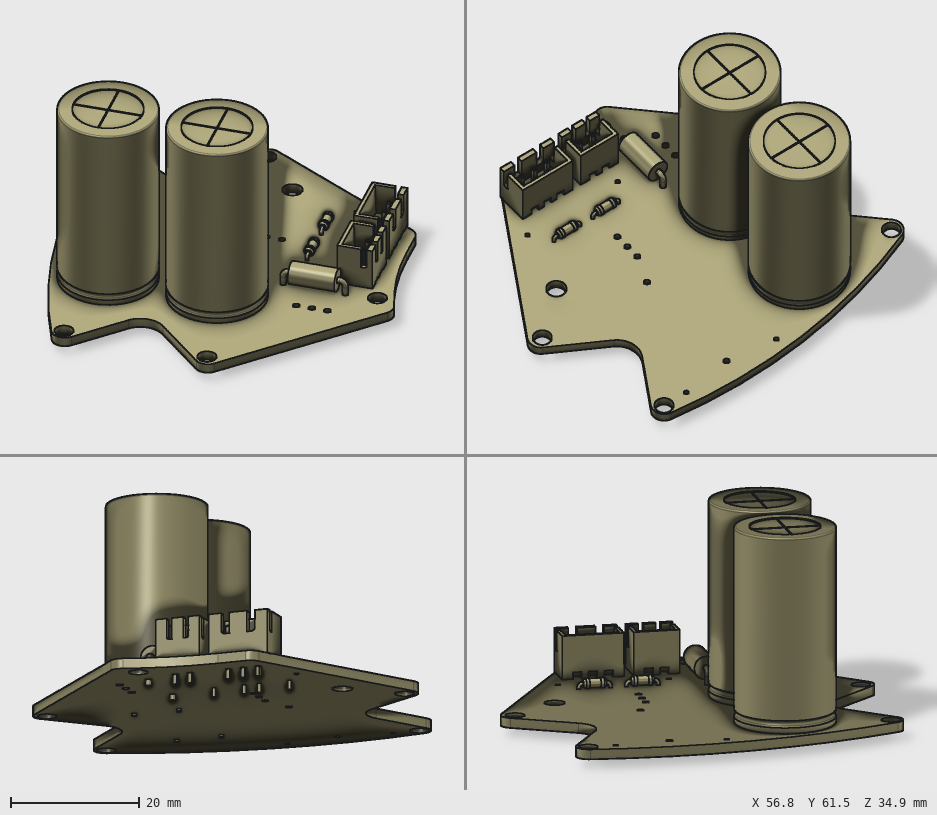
import cadquery as cq
import math


BOARD_THICKNESS = 1.6
BOARD_HALF_LENGTH = 28.42
ARC_CENTER_Y = 8.68
LEFT_ARC_RADIUS = 95.9
RIGHT_EDGE_X = 25.76
RIGHT_ARC_RADIUS = 45.3
UPPER_NOTCH = (-12.27, 16.58)
UPPER_TIP = (-3.64, 31.54)
LOWER_NOTCH = (-7.43, -19.43)
LOWER_TIP = (4.67, -31.62)
UPPER_EDGE_TILT = 30
LOWER_EDGE_TILT = 45
TIP_FILLET = 2.1
NOTCH_FILLET = 4.0

MOUNTING_HOLE_DIAMETER = 3.0
MOUNTING_HOLES = [(-3.04, 28.53), (-25.60, 21.94), (25.15, -4.93), (-19.00, -28.05), (4.51, -28.59)]
CABLE_HOLE_DIAMETER = 3.2
CABLE_HOLE = (3.50, 20.70)
MODULE_PIN_DIAMETER = 0.76
MODULE_PIN_X = (-25.65, 14.91)
MODULE_PIN_OFFSET_Y = 8.89
COIL_HOLE_DIAMETER = 1.0
COIL_HOLE_X = (-24.42, -4.10)
ROW_PITCH = 2.54
UPPER_ROW_CENTER = (3.50, 6.69)
UPPER_ROW_DIAMETER = 1.0
LOWER_ROW_CENTER = (16.19, -10.65)
LOWER_ROW_DIAMETER = 1.09

CAPACITOR_RADIUS = 8.0
CAPACITOR_HEIGHT = 31.55
CAPACITOR_EDGE = 0.25
CAPACITOR_CENTER_Y = -11.57
CAPACITOR_CENTERS = [(-16.8, CAPACITOR_CENTER_Y), (0.98, CAPACITOR_CENTER_Y)]
GROOVE_BOTTOM = 1.02
GROOVE_TOP = 2.15
GROOVE_SHOULDER_DROP = 0.15
GROOVE_DEPTH = 0.25
GROOVE_LOWER_SHOULDER = 0.38
GROOVE_UPPER_SHOULDER = 0.15
VENT_RADIUS = 5.6
VENT_DEPTH = 0.2
VENT_SLIT_WIDTH = 0.12
VENT_SLIT_DEPTH = 0.1
CAPACITOR_LEAD_DIAMETER = 0.76
CAPACITOR_LEAD_PITCH = 7.5
CAPACITOR_LEAD_STICKOUT = 0.35

SMALL_DIODE_X = 11.46
SMALL_DIODE_CENTERS_Y = (12.48, 4.84)
SMALL_DIODE_SPAN = 5.08
SMALL_DIODE_LEAD_DIAMETER = 0.6
SMALL_DIODE_STICKOUT = 1.5
SMALL_DIODE_RADIUS = 0.83
SMALL_DIODE_WAIST_RADIUS = 0.75
SMALL_DIODE_NOSE_RADIUS = 0.55
SMALL_DIODE_LENGTH = 3.7
SMALL_DIODE_NOSE_LENGTH = 0.4
SMALL_DIODE_WAIST_LENGTH = 1.8
SMALL_DIODE_BEND = 0.65

POWER_DIODE_CENTER = (14.95, -5.28)
POWER_DIODE_SPAN = 10.16
POWER_DIODE_LEAD_DIAMETER = 0.95
POWER_DIODE_STICKOUT = 0.95
POWER_DIODE_RADIUS = 1.85
POWER_DIODE_LENGTH = 7.6
POWER_DIODE_AXIS_HEIGHT = 2.35
POWER_DIODE_BEND = 0.9

HOUSING_LEFT_X = 17.9
HOUSING_DEPTH = 5.75
HOUSING_HEIGHT = 7.0
HOUSING_END_MARGIN = 2.45
PIN_PITCH = 2.5
PIN_X = 21.37
PIN_SIDE = 0.64
PIN_STICKOUT = 1.75
PIN_TIP_LENGTH = 0.2
PIN_TIP_SIDE = 0.3
PIN_HEIGHT = 5.5
PIN_HOLE_DIAMETER = 0.95
CAVITY_FLOOR = 2.0
CAVITY_MOUTH_WALL = 0.65
CAVITY_FLOOR_WALL = 0.9
LATCH_WALL = 0.95
END_SLOT_WIDTH = 0.93
END_SLOT_BOTTOM = 3.65
END_SLOT_FILLET = 0.4
FOOT_NOTCH_WIDTH = 1.4
FOOT_NOTCH_HEIGHT = 1.1
FOOT_NOTCH_DEPTH = 0.65
FOOT_CHANNEL_HEIGHT = 0.22
CONNECTORS = [
    (3, 11.25, 1.48, 2.85, 0.65),
    (2, 1.06, 0.98, 1.83, 0.4),
]


def point_on_arc(center_x, radius, through, tilt):
    """Nearest crossing of a board arc and the line through a point, tilted in degrees."""
    dx = math.cos(math.radians(tilt))
    dy = math.sin(math.radians(tilt))
    from_center_x = through[0] - center_x
    from_center_y = through[1] - ARC_CENTER_Y
    half_b = from_center_x * dx + from_center_y * dy
    c = from_center_x**2 + from_center_y**2 - radius**2
    root = math.sqrt(half_b**2 - c)
    travel = min((-half_b - root, -half_b + root), key=abs)
    return (through[0] + travel * dx, through[1] + travel * dy)


def arc_middle(center_x, radius, start, end):
    """Point halfway along a board arc between two of its points."""
    angles = [math.atan2(y - ARC_CENTER_Y, center_x - x) for x, y in (start, end)]
    middle = sum(angles) / 2
    return (center_x - radius * math.cos(middle), ARC_CENTER_Y + radius * math.sin(middle))


def pin_rows(center, pitch, count):
    """Points of a row along X, centred on a point."""
    return [(center[0] + (i - (count - 1) / 2) * pitch, center[1]) for i in range(count)]


def capacitor_leads(center):
    return [(center[0], center[1] + side * CAPACITOR_LEAD_PITCH / 2) for side in (-1, 1)]


def connector_pins(count, middle_y):
    return [(PIN_X, middle_y + (i - (count - 1) / 2) * PIN_PITCH) for i in range(count)]


def make_board():
    """Plate bounded by a long arc on the left, a hollow arc on the right and two notches."""
    left_arc = (LEFT_ARC_RADIUS - BOARD_HALF_LENGTH, LEFT_ARC_RADIUS)
    right_arc = (RIGHT_EDGE_X + RIGHT_ARC_RADIUS, RIGHT_ARC_RADIUS)
    upper_left = point_on_arc(*left_arc, UPPER_NOTCH, -UPPER_EDGE_TILT)
    lower_left = point_on_arc(*left_arc, LOWER_NOTCH, LOWER_EDGE_TILT)
    lower_right = point_on_arc(*right_arc, LOWER_TIP, LOWER_EDGE_TILT)
    drop = (RIGHT_EDGE_X - UPPER_TIP[0]) * math.tan(math.radians(UPPER_EDGE_TILT))
    upper_right = (RIGHT_EDGE_X, UPPER_TIP[1] - drop)
    right_arc_start = (RIGHT_EDGE_X, ARC_CENTER_Y)

    board = (
        cq.Workplane("XY")
        .moveTo(*upper_left)
        .lineTo(*UPPER_NOTCH)
        .lineTo(*UPPER_TIP)
        .lineTo(*upper_right)
        .lineTo(*right_arc_start)
        .threePointArc(arc_middle(*right_arc, right_arc_start, lower_right), lower_right)
        .lineTo(*LOWER_TIP)
        .lineTo(*LOWER_NOTCH)
        .lineTo(*lower_left)
        .threePointArc(arc_middle(*left_arc, lower_left, upper_left), upper_left)
        .close()
        .extrude(BOARD_THICKNESS)
    )
    tips = [upper_left, UPPER_TIP, upper_right, lower_right, LOWER_TIP, lower_left]
    notches = [UPPER_NOTCH, LOWER_NOTCH]
    for corners, radius in ((tips, TIP_FILLET), (notches, NOTCH_FILLET)):
        for x, y in corners:
            edge = cq.selectors.NearestToPointSelector((x, y, BOARD_THICKNESS / 2))
            board = board.edges("|Z").edges(edge).fillet(radius)

    module_pins = [
        (x, ARC_CENTER_Y + side * MODULE_PIN_OFFSET_Y) for x in MODULE_PIN_X for side in (-1, 1)
    ]
    small_leads = [
        (SMALL_DIODE_X, y + side * SMALL_DIODE_SPAN / 2)
        for y in SMALL_DIODE_CENTERS_Y
        for side in (-1, 1)
    ]
    holes = [
        (MOUNTING_HOLE_DIAMETER, MOUNTING_HOLES),
        (CABLE_HOLE_DIAMETER, [CABLE_HOLE]),
        (MODULE_PIN_DIAMETER, module_pins),
        (COIL_HOLE_DIAMETER, [(x, ARC_CENTER_Y) for x in COIL_HOLE_X]),
        (UPPER_ROW_DIAMETER, pin_rows(UPPER_ROW_CENTER, ROW_PITCH, 3)),
        (LOWER_ROW_DIAMETER, pin_rows(LOWER_ROW_CENTER, ROW_PITCH, 3)),
        (CAPACITOR_LEAD_DIAMETER, [p for center in CAPACITOR_CENTERS for p in capacitor_leads(center)]),
        (SMALL_DIODE_LEAD_DIAMETER, small_leads),
        (POWER_DIODE_LEAD_DIAMETER, pin_rows(POWER_DIODE_CENTER, POWER_DIODE_SPAN, 2)),
        (PIN_HOLE_DIAMETER, [p for c in CONNECTORS for p in connector_pins(c[0], c[1])]),
    ]
    for diameter, points in holes:
        cutter = cq.Workplane("XY").pushPoints(points).circle(diameter / 2).extrude(BOARD_THICKNESS)
        board = board.cut(cutter)
    return board


def make_capacitor(center):
    """Can with a rolled groove near its foot and a cross-slit vent disc sunk into its top."""
    shoulder_radius = CAPACITOR_RADIUS - GROOVE_SHOULDER_DROP
    groove_low = GROOVE_BOTTOM + GROOVE_LOWER_SHOULDER
    groove_high = GROOVE_TOP - GROOVE_UPPER_SHOULDER
    can = (
        cq.Workplane("XZ")
        .lineTo(CAPACITOR_RADIUS, 0)
        .lineTo(CAPACITOR_RADIUS, GROOVE_BOTTOM)
        .lineTo(shoulder_radius, groove_low)
        .threePointArc(
            (CAPACITOR_RADIUS - GROOVE_DEPTH, (groove_low + groove_high) / 2),
            (shoulder_radius, groove_high),
        )
        .lineTo(CAPACITOR_RADIUS, GROOVE_TOP)
        .lineTo(CAPACITOR_RADIUS, CAPACITOR_HEIGHT)
        .lineTo(0, CAPACITOR_HEIGHT)
        .close()
        .revolve(360, (0, 0, 0), (0, 1, 0))
    )
    can = can.faces("<Z or >Z").edges().fillet(CAPACITOR_EDGE)

    vent_floor = CAPACITOR_HEIGHT - VENT_DEPTH
    vent = cq.Workplane("XY").workplane(offset=vent_floor).circle(VENT_RADIUS).extrude(VENT_DEPTH)
    slits = (
        cq.Workplane("XY")
        .workplane(offset=vent_floor - VENT_SLIT_DEPTH)
        .rect(2 * VENT_RADIUS, VENT_SLIT_WIDTH)
        .extrude(VENT_SLIT_DEPTH)
        .union(
            cq.Workplane("XY")
            .workplane(offset=vent_floor - VENT_SLIT_DEPTH)
            .rect(VENT_SLIT_WIDTH, 2 * VENT_RADIUS)
            .extrude(VENT_SLIT_DEPTH)
        )
    )
    leads = (
        cq.Workplane("XY")
        .pushPoints(capacitor_leads((0, 0)))
        .circle(CAPACITOR_LEAD_DIAMETER / 2)
        .extrude(-(BOARD_THICKNESS + CAPACITOR_LEAD_STICKOUT))
    )
    capacitor = can.cut(vent).cut(slits).union(leads)
    return capacitor.translate((center[0], center[1], BOARD_THICKNESS))


def make_bent_lead(span, diameter, axis_height, bend, stickout):
    """Wire along X at the axis height, turned down through the board at both ends."""
    half = span / 2
    bottom = -BOARD_THICKNESS - stickout
    diagonal = bend * (1 - math.sqrt(0.5))
    path = (
        cq.Workplane("XZ")
        .moveTo(-half, bottom)
        .lineTo(-half, axis_height - bend)
        .threePointArc((-half + diagonal, axis_height - diagonal), (-half + bend, axis_height))
        .lineTo(half - bend, axis_height)
        .threePointArc((half - diagonal, axis_height - diagonal), (half, axis_height - bend))
        .lineTo(half, bottom)
    )
    return cq.Workplane("XY", origin=(-half, 0, bottom)).circle(diameter / 2).sweep(path)


def make_small_diode(middle_y):
    """Glass diode with a wider collar and a tapered nose at each end of its waist."""
    half = SMALL_DIODE_LENGTH / 2
    collar_end = half - SMALL_DIODE_NOSE_LENGTH
    half_waist = SMALL_DIODE_WAIST_LENGTH / 2
    body = (
        cq.Workplane("XY")
        .moveTo(-half, 0)
        .lineTo(-half, SMALL_DIODE_NOSE_RADIUS)
        .lineTo(-collar_end, SMALL_DIODE_RADIUS)
        .lineTo(-half_waist, SMALL_DIODE_RADIUS)
        .lineTo(-half_waist, SMALL_DIODE_WAIST_RADIUS)
        .lineTo(half_waist, SMALL_DIODE_WAIST_RADIUS)
        .lineTo(half_waist, SMALL_DIODE_RADIUS)
        .lineTo(collar_end, SMALL_DIODE_RADIUS)
        .lineTo(half, SMALL_DIODE_NOSE_RADIUS)
        .lineTo(half, 0)
        .close()
        .revolve(360, (0, 0, 0), (1, 0, 0))
        .translate((0, 0, SMALL_DIODE_RADIUS))
    )
    lead = make_bent_lead(
        SMALL_DIODE_SPAN,
        SMALL_DIODE_LEAD_DIAMETER,
        SMALL_DIODE_RADIUS,
        SMALL_DIODE_BEND,
        SMALL_DIODE_STICKOUT,
    )
    diode = body.union(lead).rotate((0, 0, 0), (0, 0, 1), 90)
    return diode.translate((SMALL_DIODE_X, middle_y, BOARD_THICKNESS))


def make_power_diode():
    body = (
        cq.Workplane("YZ", origin=(-POWER_DIODE_LENGTH / 2, 0, POWER_DIODE_AXIS_HEIGHT))
        .circle(POWER_DIODE_RADIUS)
        .extrude(POWER_DIODE_LENGTH)
    )
    lead = make_bent_lead(
        POWER_DIODE_SPAN,
        POWER_DIODE_LEAD_DIAMETER,
        POWER_DIODE_AXIS_HEIGHT,
        POWER_DIODE_BEND,
        POWER_DIODE_STICKOUT,
    )
    return body.union(lead).translate((*POWER_DIODE_CENTER, BOARD_THICKNESS))


def make_connector_pin():
    """Square pin with a pyramid tip at both ends."""
    bottom = -BOARD_THICKNESS - PIN_STICKOUT
    tip_inset = (PIN_SIDE - PIN_TIP_SIDE) / 2
    return (
        cq.Workplane("XY")
        .workplane(offset=bottom)
        .rect(PIN_SIDE, PIN_SIDE)
        .extrude(PIN_HEIGHT - bottom)
        .faces("<Z or >Z")
        .chamfer(PIN_TIP_LENGTH, tip_inset)
    )


def make_connector(pin_count, middle_y, latch_inner, latch_outer, latch_fillet):
    """Open-topped housing with slotted end walls and latch wall, and its row of pins."""
    length = (pin_count - 1) * PIN_PITCH + 2 * HOUSING_END_MARGIN
    right_x = HOUSING_LEFT_X + HOUSING_DEPTH
    latch_x = right_x - LATCH_WALL
    housing = cq.Workplane("XY").box(HOUSING_DEPTH, length, HOUSING_HEIGHT, centered=(False, True, False))
    housing = housing.translate((HOUSING_LEFT_X, 0, 0))

    floor_depth = latch_x - HOUSING_LEFT_X - CAVITY_FLOOR_WALL
    mouth_depth = latch_x - HOUSING_LEFT_X - CAVITY_MOUTH_WALL
    cavity = (
        cq.Workplane("XY", origin=(latch_x, 0, CAVITY_FLOOR))
        .center(-floor_depth / 2, 0)
        .rect(floor_depth, length - 2 * CAVITY_FLOOR_WALL)
        .workplane(offset=HOUSING_HEIGHT - CAVITY_FLOOR)
        .center((floor_depth - mouth_depth) / 2, 0)
        .rect(mouth_depth, length - 2 * CAVITY_MOUTH_WALL)
        .loft()
    )

    end_slot = (
        cq.Workplane("XY")
        .box(END_SLOT_WIDTH, length, HOUSING_HEIGHT - END_SLOT_BOTTOM, centered=(False, True, False))
        .translate((latch_x - END_SLOT_WIDTH, 0, END_SLOT_BOTTOM))
        .edges("|Y and >X and <Z")
        .fillet(END_SLOT_FILLET)
    )
    housing = housing.cut(cavity).cut(end_slot)

    for side, outer_edge in ((-1, "|X and <Y and <Z"), (1, "|X and >Y and <Z")):
        latch_slot = (
            cq.Workplane("XY")
            .box(
                LATCH_WALL,
                latch_outer - latch_inner,
                HOUSING_HEIGHT - END_SLOT_BOTTOM,
                centered=(False, True, False),
            )
            .translate((latch_x, side * (latch_inner + latch_outer) / 2, END_SLOT_BOTTOM))
            .edges(outer_edge)
            .fillet(latch_fillet)
        )
        housing = housing.cut(latch_slot)

    pin_places = connector_pins(pin_count, 0)
    for _, y in pin_places:
        foot_notch = (
            cq.Workplane("XZ", origin=(HOUSING_LEFT_X, y + FOOT_NOTCH_WIDTH / 2, 0))
            .lineTo(HOUSING_DEPTH, 0)
            .lineTo(HOUSING_DEPTH, FOOT_CHANNEL_HEIGHT)
            .lineTo(FOOT_NOTCH_DEPTH, FOOT_CHANNEL_HEIGHT)
            .lineTo(0, FOOT_NOTCH_HEIGHT)
            .close()
            .extrude(FOOT_NOTCH_WIDTH)
        )
        housing = housing.cut(foot_notch)
    for x, y in pin_places:
        housing = housing.union(make_connector_pin().translate((x, y, 0)))
    return housing.translate((0, middle_y, BOARD_THICKNESS))


board = make_board()
capacitors = [make_capacitor(center) for center in CAPACITOR_CENTERS]
small_diodes = [make_small_diode(middle_y) for middle_y in SMALL_DIODE_CENTERS_Y]
power_diode = make_power_diode()
connectors = [make_connector(*sizes) for sizes in CONNECTORS]

bodies = [board, *capacitors, *small_diodes, power_diode, *connectors]
result = cq.Compound.makeCompound([body.val() for body in bodies])